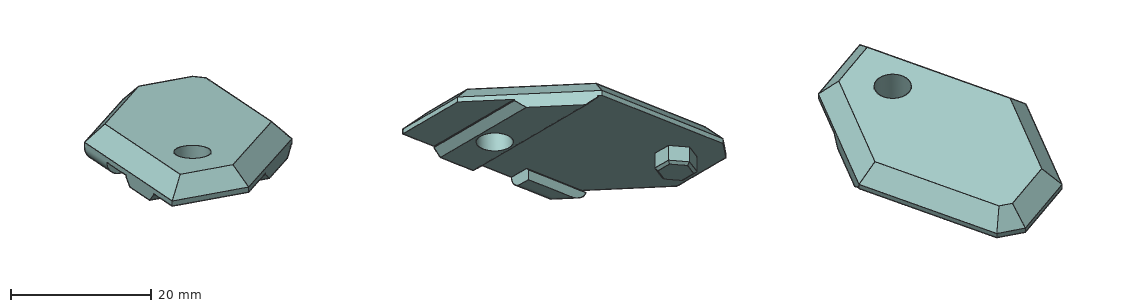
import cadquery as cq
import math

LENGTH = 40.0
WIDTH = 26.9
PLATE_THICKNESS = 3.5
BEVEL = 2.7
FRONT_LEFT_CUT = 13.0
BACK_RIGHT_CUT = 14.6
BACK_LEFT_CUT = 3.0

HOLE_DIAMETER = 5.3
HOLE_X = 30.0
HOLE_Y = 8.5
RIB_WIDTH = 8.5
RIB_STEP = 0.2
RIB_BEVEL = 1.2
RIB_HEIGHT = RIB_STEP + RIB_BEVEL

PIN_ACROSS_FLATS = 5.3
PIN_HEIGHT = 2.8
PIN_CHAMFER = 0.4
PIN_X = 6.0
PIN_Y = 20.0

FOOT_HEIGHT = 2.0
FOOT_RADIUS = 2.0
FOOT_RIGHT = 19.9
FOOT_BACK = 3.8
FOOT_RELIEF = 0.4
FOOT_EMBED = 0.5


def outline_prism(bottom, height):
    """Upright prism with the outline of the plate."""
    points = [
        (FRONT_LEFT_CUT, 0),
        (LENGTH, 0),
        (LENGTH, WIDTH - BACK_RIGHT_CUT),
        (LENGTH - BACK_RIGHT_CUT, WIDTH),
        (BACK_LEFT_CUT, WIDTH),
        (0, WIDTH - BACK_LEFT_CUT),
        (0, FRONT_LEFT_CUT),
    ]
    return cq.Workplane("XY").workplane(offset=bottom).polyline(points).close().extrude(height)


def make_plate():
    return outline_prism(0, PLATE_THICKNESS).faces(">Z").chamfer(BEVEL)


def make_rib():
    """Trapezoidal rib across the underside, trimmed to the plate outline."""
    half_top = RIB_WIDTH / 2
    half_bottom = half_top - RIB_BEVEL
    profile = [
        (HOLE_X - half_top, 0),
        (HOLE_X - half_top, -RIB_STEP),
        (HOLE_X - half_bottom, -RIB_HEIGHT),
        (HOLE_X + half_bottom, -RIB_HEIGHT),
        (HOLE_X + half_top, -RIB_STEP),
        (HOLE_X + half_top, 0),
    ]
    bar = cq.Workplane("XZ").polyline(profile).close().extrude(-WIDTH)
    return bar.intersect(outline_prism(-RIB_HEIGHT, RIB_HEIGHT))


def make_pin():
    """Hexagonal pin with two corners pointing along Y and a chamfered tip."""
    across_corners = PIN_ACROSS_FLATS / math.cos(math.pi / 6)
    pin = cq.Workplane("XY").polygon(6, across_corners).extrude(-PIN_HEIGHT)
    pin = pin.faces("<Z").chamfer(PIN_CHAMFER)
    return pin.rotate((0, 0, 0), (0, 0, 1), 90).translate((PIN_X, PIN_Y, 0))


def make_foot():
    """Corner block flush with the plate outline, its outer bottom edges rounded."""
    rounded = outline_prism(-FOOT_HEIGHT, FOOT_HEIGHT + FOOT_EMBED)
    rounded = rounded.faces("<Z").edges().fillet(FOOT_RADIUS)
    side_profile = [
        (0, FOOT_EMBED),
        (0, -FOOT_HEIGHT),
        (FOOT_BACK, -FOOT_HEIGHT),
        (FOOT_BACK, -FOOT_RELIEF),
        (FOOT_BACK - FOOT_RELIEF, 0),
        (FOOT_BACK - FOOT_RELIEF, FOOT_EMBED),
    ]
    corner_block = cq.Workplane("YZ").polyline(side_profile).close().extrude(FOOT_RIGHT)
    return rounded.intersect(corner_block)


def make_hole():
    return (
        cq.Workplane("XY")
        .workplane(offset=-RIB_HEIGHT)
        .center(HOLE_X, HOLE_Y)
        .circle(HOLE_DIAMETER / 2)
        .extrude(RIB_HEIGHT + PLATE_THICKNESS)
    )


result = make_plate().union(make_rib()).union(make_pin()).union(make_foot()).cut(make_hole())